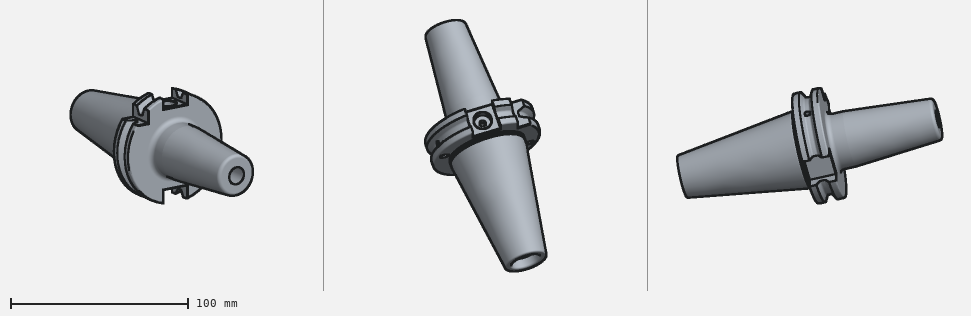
import cadquery as cq
import math


gauge_radius = 44.45 / 2
taper_length = 68.4
taper_slope = 7 / 48
shank_end_fillet = 0.9

relief_start = 1.1
relief_end = 2.3
relief_depth = 0.3

flange_radius = 63.55 / 2
flange_start = 3.2
flange_width = 15.9
flange_end = flange_start + flange_width
flange_edge_fillet = 1.0
groove_center = 11.1
groove_bottom_radius = 28.1
groove_bottom_half_width = 1.55
groove_half_angle = math.radians(30)
groove_corner_fillet = 1.0

slot_width = 16.1
upper_slot_floor = 25.0
lower_slot_floor = 22.8
notch_offset = 18.4
cutout_chamfer = 0.4

neck_radius = 16.0
neck_fillet = 3.0
neck_end = 29.2
nose_end = 80.0
nose_radius = 12.0
nose_edge_fillet = 2.0

pilot_radius = 8.5
mouth_rounding = 1.0
pilot_depth = 6.0
thread_radius = 7.0
pilot_cone_length = 2.0
thread_depth = 32.0
passage_radius = 4.2
passage_step_radius = 5.0
passage_step_length = 8.0
thread_cone_length = 1.2
tool_bore_radius = 5.0
tool_bore_depth = 42.0

chip_radius = 5.0
chip_depth = 4.6
chip_chamfer = 0.25
chip_pilot_radius = 1.8
chip_pilot_depth = 4.0

coolant_radius = 2.0
coolant_port_radius = 26.8
coolant_tilt = math.radians(40)
coolant_turn = 20.0
groove_hole_radius = 1.6


def revolve_about_x(profile):
    return profile.close().revolve(360, (0, 0, 0), (1, 0, 0))


def make_shank():
    end_radius = gauge_radius - taper_length * taper_slope
    profile = (
        cq.Workplane("XY")
        .moveTo(-taper_length, 0)
        .lineTo(-taper_length, end_radius)
        .lineTo(0, gauge_radius)
        .lineTo(relief_start, gauge_radius)
        .lineTo(relief_start + relief_depth, gauge_radius - relief_depth)
        .lineTo(relief_end - relief_depth, gauge_radius - relief_depth)
        .lineTo(relief_end, gauge_radius)
        .lineTo(flange_start, gauge_radius)
        .lineTo(flange_start, 0)
    )
    return revolve_about_x(profile).faces("<X").edges().fillet(shank_end_fillet)


def make_gripper_groove():
    """Ring with a 60 degree V section and rounded bottom corners."""
    outer_radius = flange_radius + 1
    outer_half_width = groove_bottom_half_width + (
        (outer_radius - groove_bottom_radius) * math.tan(groove_half_angle)
    )
    profile = (
        cq.Workplane("XY")
        .moveTo(groove_center - outer_half_width, outer_radius)
        .lineTo(groove_center - groove_bottom_half_width, groove_bottom_radius)
        .lineTo(groove_center + groove_bottom_half_width, groove_bottom_radius)
        .lineTo(groove_center + outer_half_width, outer_radius)
    )
    ring = revolve_about_x(profile)
    bottom_edges = cq.selectors.RadiusNthSelector(0)
    return ring.edges("%CIRCLE").edges(bottom_edges).fillet(groove_corner_fillet)


def flange_cutout(y_low, y_high, z_low, z_high):
    """Cutter spanning the full flange width, flared to chamfer its edges on both flange faces."""
    y_size = y_high - y_low
    z_size = z_high - z_low
    block = cq.Workplane("XY").box(flange_width, y_size, z_size)
    flared_y = y_size + 2 * cutout_chamfer
    flared_z = z_size + 2 * cutout_chamfer
    for side in (-1, 1):
        flare = (
            cq.Workplane("YZ")
            .workplane(offset=side * flange_width / 2)
            .rect(flared_y, flared_z)
            .workplane(offset=-side * cutout_chamfer)
            .rect(y_size, z_size)
            .loft(ruled=True)
        )
        block = block.union(flare)
    return block.translate((flange_start + flange_width / 2, (y_low + y_high) / 2, (z_low + z_high) / 2))


def make_flange():
    disc = cq.Workplane("YZ").workplane(offset=flange_start).circle(flange_radius).extrude(flange_width)
    disc = disc.edges().fillet(flange_edge_fillet)
    half_slot = slot_width / 2
    upper_slot = flange_cutout(-half_slot, half_slot, upper_slot_floor, flange_radius)
    lower_slot = flange_cutout(-half_slot, half_slot, -flange_radius, -lower_slot_floor)
    notch = flange_cutout(-flange_radius, -notch_offset, notch_offset, flange_radius)
    return disc.cut(make_gripper_groove()).cut(upper_slot).cut(lower_slot).cut(notch)


def make_nose():
    profile = (
        cq.Workplane("XY")
        .moveTo(flange_end - neck_fillet, 0)
        .lineTo(flange_end - neck_fillet, neck_radius + neck_fillet)
        .lineTo(flange_end, neck_radius + neck_fillet)
        .radiusArc((flange_end + neck_fillet, neck_radius), -neck_fillet)
        .lineTo(neck_end, neck_radius)
        .lineTo(nose_end, nose_radius)
        .lineTo(nose_end, 0)
    )
    return revolve_about_x(profile).faces(">X").edges().fillet(nose_edge_fillet)


def make_bore():
    mouth = -taper_length
    pilot_end = mouth + pilot_depth
    thread_end = mouth + thread_depth
    cone_end = thread_end + thread_cone_length
    step_end = cone_end + passage_step_length
    tool_bore_start = nose_end - tool_bore_depth
    profile = (
        cq.Workplane("XY")
        .moveTo(mouth, 0)
        .lineTo(mouth, pilot_radius + mouth_rounding)
        .radiusArc((mouth + mouth_rounding, pilot_radius), -mouth_rounding)
        .lineTo(pilot_end, pilot_radius)
        .lineTo(pilot_end + pilot_cone_length, thread_radius)
        .lineTo(thread_end, thread_radius)
        .lineTo(cone_end, passage_step_radius)
        .lineTo(step_end, passage_step_radius)
        .lineTo(step_end, passage_radius)
        .lineTo(tool_bore_start, passage_radius)
        .lineTo(tool_bore_start, tool_bore_radius)
        .lineTo(nose_end, tool_bore_radius)
        .lineTo(nose_end, 0)
    )
    return revolve_about_x(profile)


def make_chip_pocket():
    """Stepped hole along Z with a chamfered mouth."""
    pocket_floor = upper_slot_floor - chip_depth
    profile = (
        cq.Workplane("XZ")
        .moveTo(0, upper_slot_floor)
        .lineTo(chip_radius + chip_chamfer, upper_slot_floor)
        .lineTo(chip_radius, upper_slot_floor - chip_chamfer)
        .lineTo(chip_radius, pocket_floor)
        .lineTo(chip_pilot_radius, pocket_floor)
        .lineTo(chip_pilot_radius, pocket_floor - chip_pilot_depth)
        .lineTo(0, pocket_floor - chip_pilot_depth - chip_pilot_radius)
        .close()
    )
    return profile.revolve(360, (0, 0, 0), (0, 1, 0)).translate((groove_center, 0, 0))


def make_coolant_channel(turn):
    """Tilted hole from the flange face to the bore, and a radial hole from the groove meeting it."""
    direction = cq.Vector(math.cos(coolant_tilt), -math.sin(coolant_tilt), 0)
    port = cq.Vector(flange_start, coolant_port_radius, 0)
    overrun = 2 * coolant_radius
    length = coolant_port_radius / math.sin(coolant_tilt)
    tilted = cq.Solid.makeCylinder(coolant_radius, length + overrun, port - direction * overrun, direction)
    meeting_radius = coolant_port_radius - (groove_center - flange_start) * math.tan(coolant_tilt)
    radial = cq.Solid.makeCylinder(
        groove_hole_radius,
        flange_radius - meeting_radius,
        cq.Vector(groove_center, meeting_radius, 0),
        cq.Vector(0, 1, 0),
    )
    channel = cq.Workplane(tilted).union(cq.Workplane(radial))
    return channel.rotate((0, 0, 0), (1, 0, 0), turn)


result = make_shank().union(make_flange()).union(make_nose())
result = result.cut(make_bore()).cut(make_chip_pocket())
for turn in (coolant_turn, coolant_turn + 180):
    result = result.cut(make_coolant_channel(turn))